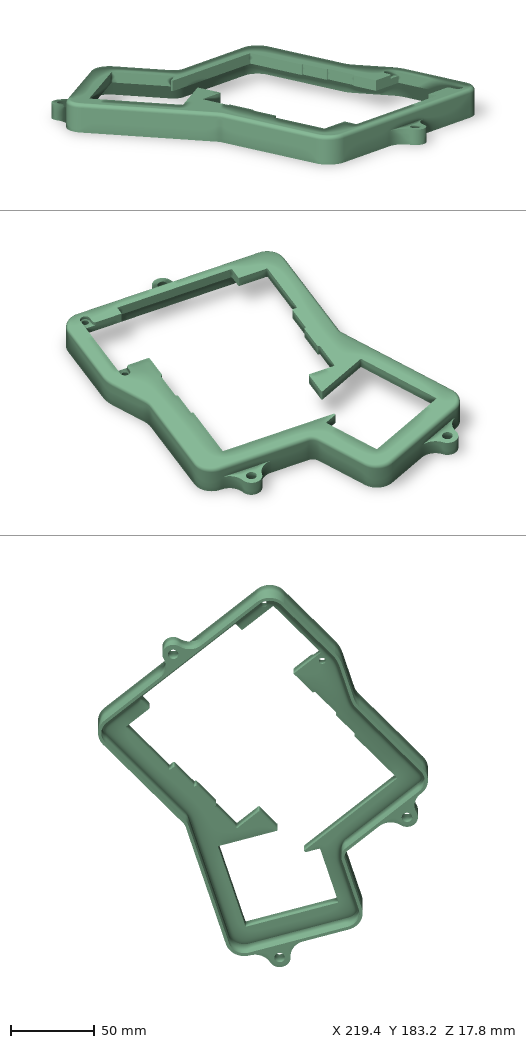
import cadquery as cq
import math

HEIGHT = 17.8
PLATE_THICKNESS = 6.5
EAR_HEIGHT = 9.7
WALL = 2.0
RIM_FILLET = 2.5

LENGTH = 219.4
BODY_BACK = 145.9
BODY_BACK_LEFT = 132.3
BACK_RAMP_START = 72.5
TILT = 25.0
LOBE_LEFT = -26.3
LOBE_FRONT = -33.1
LOBE_BACK = 52.2
CORNER_RADIUS = 11.6
FRONT_BEND_RADIUS = 6.5
SIDE_BEND_RADIUS = 6.0
RAMP_FOOT_RADIUS = 13.2
RAMP_TOP_RADIUS = 22.0

OPENING_LEFT = 12.7
OPENING_RIGHT = 156.8
OPENING_FRONT = 17.5
OPENING_BACK = 113.8
BACK_LEFT_EDGE = 112.5
BACK_LEFT_STEP = 52.0
NOTCH_DEPTH = 1.3
BACK_NOTCH = (70.2, 90.4)
FRONT_BUMP = (71.0, 89.5)
BAY_LEFT = 108.0
BAY_RIGHT = 151.0
BAY_BACK = 135.8
BACK_SHOULDER = 110.5
FRONT_SHOULDER = 33.3
POCKET_RIGHT = 147.6
POCKET_FRONT = 14.0
HORN_RIGHT = 51.1
HORN_BACK = 35.3
TONGUE_TIP = 37.3
OPENING_FILLET = 0.61

WINDOW_LEFT = -12.7
WINDOW_RIGHT = 45.2
WINDOW_FRONT = -20.2
WINDOW_BACK = 38.2
TONGUE_SIDE = 26.0

SEAT_DIAMETER = 6.4
SEAT_HOLE = 4.2
SEAT_DEPTH = 2.2
SEAT_INSET = 4.8
SEAT_MOUTH_RADIUS = 2.0

EAR_RADIUS = 6.5
EAR_HOLE = 6.4
EAR_BLEND = 10.5
EAR_ROOT = 1.0
LEFT_EAR_Y = 103.0
RIGHT_EAR_Y = 72.8
LOBE_EAR_ACROSS = -4.8

POINT_TOLERANCE = 0.02
COS = math.cos(math.radians(TILT))
SIN = math.sin(math.radians(TILT))

LOBE_CORNER_X = (LOBE_LEFT + CORNER_RADIUS) * COS - (LOBE_BACK - CORNER_RADIUS) * SIN
BODY_RIGHT = LENGTH + LOBE_CORNER_X - CORNER_RADIUS - 2 * EAR_RADIUS


def lobe_point(along, across):
    """Turn a point in the tilted lobe axes into X and Y."""
    return (along * COS - across * SIN, along * SIN + across * COS)


def lobe_line_at(along, y):
    """Point at height y on the lobe line that has a constant along coordinate."""
    return lobe_point(along, (y - along * SIN) / COS)


def round_corners(solid, points, radius):
    """Fillet the upright edges standing at the given points."""
    for x, y in points:
        corner = cq.selectors.BoxSelector(
            (x - POINT_TOLERANCE, y - POINT_TOLERANCE, 0),
            (x + POINT_TOLERANCE, y + POINT_TOLERANCE, HEIGHT),
        )
        solid = solid.edges("|Z").edges(corner).fillet(radius)
    return solid


def make_block():
    ramp_end = BACK_RAMP_START + (BODY_BACK - BODY_BACK_LEFT) * COS / SIN
    front_bend = (-LOBE_FRONT / SIN, 0)
    side_bend = (0, LOBE_BACK / COS)
    ramp_foot = (BACK_RAMP_START, BODY_BACK_LEFT)
    ramp_top = (ramp_end, BODY_BACK)
    body_corners = [(BODY_RIGHT, 0), (BODY_RIGHT, BODY_BACK), (0, BODY_BACK_LEFT)]
    lobe_corners = [lobe_point(LOBE_LEFT, LOBE_BACK), lobe_point(LOBE_LEFT, LOBE_FRONT)]
    outline = [front_bend, *body_corners[:2], ramp_top, ramp_foot, body_corners[2], side_bend, *lobe_corners]
    block = cq.Workplane("XY").polyline(outline).close().extrude(HEIGHT)
    block = round_corners(block, body_corners + lobe_corners, CORNER_RADIUS)
    block = round_corners(block, [front_bend], FRONT_BEND_RADIUS)
    block = round_corners(block, [side_bend], SIDE_BEND_RADIUS)
    block = round_corners(block, [ramp_foot], RAMP_FOOT_RADIUS)
    return round_corners(block, [ramp_top], RAMP_TOP_RADIUS)


def make_cavity(block):
    """Hollow below the top plate, one wall thickness inside the outer outline."""
    outline = block.faces("<Z").wires().vals()[0]
    return cq.Workplane("XY").add(outline).toPending().offset2D(-WALL).extrude(HEIGHT - PLATE_THICKNESS)


def make_opening():
    """Main opening joined with the tilted window."""
    back_edge = [
        (OPENING_LEFT, BACK_LEFT_EDGE),
        (BACK_LEFT_STEP, BACK_LEFT_EDGE),
        (BACK_LEFT_STEP, OPENING_BACK),
        (BACK_NOTCH[0], OPENING_BACK),
        (BACK_NOTCH[0], OPENING_BACK + NOTCH_DEPTH),
        (BACK_NOTCH[1], OPENING_BACK + NOTCH_DEPTH),
        (BACK_NOTCH[1], OPENING_BACK),
    ]
    sharp_bay = [
        (BAY_LEFT, OPENING_BACK),
        (BAY_LEFT, BAY_BACK),
        (BAY_RIGHT, BAY_BACK),
        (BAY_RIGHT, BACK_SHOULDER),
    ]
    right_and_front = [
        (OPENING_RIGHT, BACK_SHOULDER),
        (OPENING_RIGHT, FRONT_SHOULDER),
        (POCKET_RIGHT, FRONT_SHOULDER),
        (POCKET_RIGHT, POCKET_FRONT),
        (BAY_LEFT, POCKET_FRONT),
        (BAY_LEFT, OPENING_FRONT),
        (FRONT_BUMP[1], OPENING_FRONT),
        (FRONT_BUMP[1], OPENING_FRONT + NOTCH_DEPTH),
        (FRONT_BUMP[0], OPENING_FRONT + NOTCH_DEPTH),
        (FRONT_BUMP[0], OPENING_FRONT),
        (HORN_RIGHT, OPENING_FRONT),
        (HORN_RIGHT, HORN_BACK),
        lobe_line_at(WINDOW_RIGHT, HORN_BACK),
    ]
    window = [
        lobe_point(WINDOW_RIGHT, WINDOW_FRONT),
        lobe_point(WINDOW_LEFT, WINDOW_FRONT),
        lobe_point(WINDOW_LEFT, WINDOW_BACK),
        lobe_point(TONGUE_SIDE, WINDOW_BACK),
    ]
    tongue = [lobe_line_at(TONGUE_SIDE, TONGUE_TIP), (OPENING_LEFT, TONGUE_TIP)]
    outline = back_edge + sharp_bay + right_and_front + window + tongue
    opening = cq.Workplane("XY").polyline(outline).close().extrude(HEIGHT)
    return round_corners(opening, back_edge + right_and_front + window + tongue[:1], OPENING_FILLET)


def make_seat(edge_x, side):
    """Recess and through hole beside the bay; side is -1 at its left edge and 1 at its right."""
    radius = SEAT_DIAMETER / 2
    x = edge_x + side * SEAT_INSET
    y = BAY_BACK - radius
    floor = cq.Workplane("XY", origin=(0, 0, HEIGHT - SEAT_DEPTH))
    recess = floor.center(x, y).circle(radius).extrude(SEAT_DEPTH)
    lip = y - radius
    mouth = (
        floor.moveTo(x, y + radius)
        .lineTo(edge_x, y + radius)
        .lineTo(edge_x, lip - SEAT_MOUTH_RADIUS)
        .radiusArc((edge_x + side * SEAT_MOUTH_RADIUS, lip), side * SEAT_MOUTH_RADIUS)
        .lineTo(x, lip)
        .close()
        .extrude(SEAT_DEPTH)
    )
    hole = cq.Workplane("XY").center(x, y).circle(SEAT_HOLE / 2).extrude(HEIGHT)
    return recess.union(mouth).union(hole)


def make_ear(root, angle):
    """Ear whose flat side lies on the wall at root and which points outward along angle."""
    blend_y = 2 * math.sqrt(EAR_RADIUS * EAR_BLEND)
    share = EAR_RADIUS / (EAR_RADIUS + EAR_BLEND)
    touch = (EAR_RADIUS + share * (EAR_BLEND - EAR_RADIUS), share * blend_y)
    to_middle = 0.5 * math.atan2(blend_y - touch[1], EAR_BLEND - touch[0])
    middle = (EAR_BLEND * (1 - math.cos(to_middle)), blend_y - EAR_BLEND * math.sin(to_middle))
    ear = (
        cq.Workplane("XY")
        .moveTo(-EAR_ROOT, -blend_y)
        .lineTo(0, -blend_y)
        .threePointArc((middle[0], -middle[1]), (touch[0], -touch[1]))
        .threePointArc((2 * EAR_RADIUS, 0), touch)
        .threePointArc(middle, (0, blend_y))
        .lineTo(-EAR_ROOT, blend_y)
        .close()
        .extrude(EAR_HEIGHT)
    )
    hole = cq.Workplane("XY").center(EAR_RADIUS, 0).circle(EAR_HOLE / 2).extrude(EAR_HEIGHT)
    return ear.cut(hole).rotate((0, 0, 0), (0, 0, 1), angle).translate((*root, 0))


block = make_block()
result = block.faces(">Z").edges().fillet(RIM_FILLET)
result = result.cut(make_cavity(block)).cut(make_opening())
result = result.cut(make_seat(BAY_LEFT, -1)).cut(make_seat(BAY_RIGHT, 1))

ears = [
    ((BODY_RIGHT, RIGHT_EAR_Y), 0),
    ((0, LEFT_EAR_Y), 180),
    (lobe_point(LOBE_LEFT, LOBE_EAR_ACROSS), 180 + TILT),
]
for root, angle in ears:
    result = result.union(make_ear(root, angle))